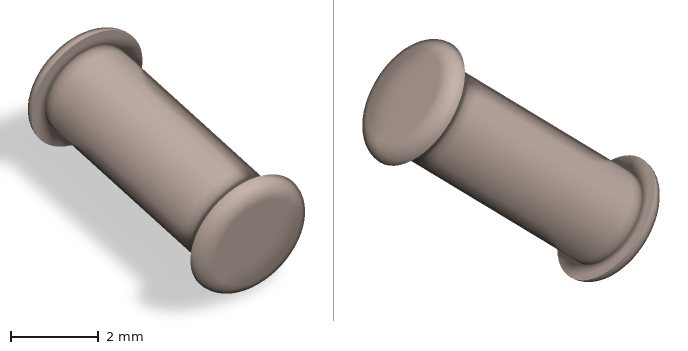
import cadquery as cq

overall_length = 6.89
head_diameter = 3.17
head_thickness = 0.4
shank_diameter = 2.38

shank_length = overall_length - 2 * head_thickness
flat_rim_width = 0.001
rim_radius = head_thickness - flat_rim_width


def make_head(side):
    """Head disc on the -X (side = -1) or +X (side = 1) end of the shank."""
    disc = (
        cq.Workplane("YZ")
        .workplane(offset=side * shank_length / 2)
        .circle(head_diameter / 2)
        .extrude(side * head_thickness)
    )
    outer_face = ">X" if side > 0 else "<X"
    return disc.faces(outer_face).edges().fillet(rim_radius)


shank = cq.Workplane("YZ").circle(shank_diameter / 2).extrude(shank_length / 2, both=True)

result = shank
for side in (-1, 1):
    result = result.union(make_head(side))